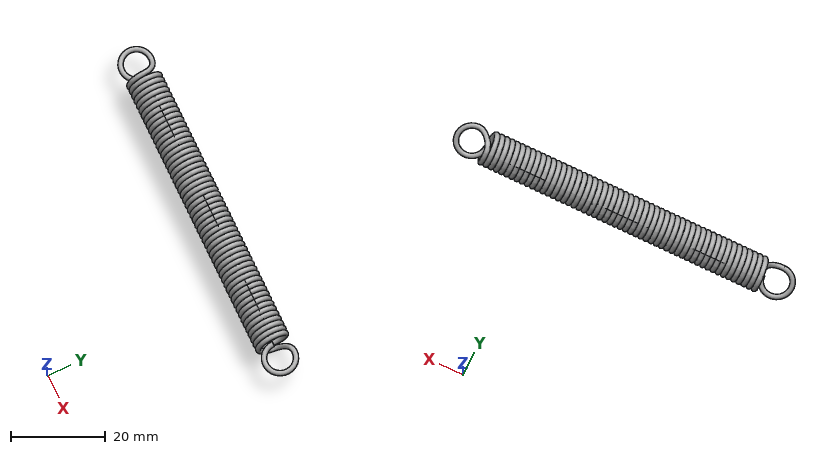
import cadquery as cq
import math

overall_length = 79.35
outer_diameter = 7.9
wire_diameter = 1.2
half_turns = 107

wire_radius = wire_diameter / 2
mean_radius = (outer_diameter - wire_diameter) / 2
ring_center_x = -(overall_length - outer_diameter) / 2
coil_start_x = ring_center_x + mean_radius
coil_length = -2 * coil_start_x
half_pitch = coil_length / half_turns
coil_slope = half_pitch / (math.pi * mean_radius)
handle_length = mean_radius * 4 / 3 * (math.sqrt(2) - 1)

origin = cq.Vector(0, 0, 0)
x_axis = cq.Vector(1, 0, 0)
y_axis = cq.Vector(0, 1, 0)

ring_end = cq.Vector(ring_center_x + mean_radius, 0, 0)
lead_start = cq.Vector(ring_center_x, mean_radius, 0)
lead_end = cq.Vector(coil_start_x, 0, mean_radius)


def turn_about_y(edge):
    """Half turn about Y, which carries one end of the spring onto the other."""
    return edge.rotate(origin, y_axis, 180)


def ring_edge():
    """Three-quarter hook ring in the XY plane, open towards the lead."""
    diagonal = mean_radius * math.sqrt(0.5)
    ring_middle = cq.Vector(ring_center_x - diagonal, -diagonal, 0)
    return cq.Edge.makeThreePointArc(ring_end, ring_middle, lead_start)


def lead_edge():
    """Curved lead from the +Y side of the ring up to the top of the coil."""
    ring_handle = lead_start + cq.Vector(handle_length, 0, 0)
    coil_handle = lead_end + cq.Vector(-handle_length * coil_slope, handle_length, 0)
    return cq.Edge.makeBezier([lead_start, ring_handle, coil_handle, lead_end])


def coil_edges():
    """Close-wound right-handed coil about X, from its top at -X to its bottom at +X."""
    helix = cq.Wire.makeHelix(2 * half_pitch, half_pitch, mean_radius).Edges()[0]
    first = helix.rotate(origin, y_axis, 90).rotate(origin, x_axis, 180)
    edges = []
    for index in range(half_turns):
        shift = cq.Vector(coil_start_x + index * half_pitch, 0, 0)
        edges.append(first.rotate(origin, x_axis, 180 * index).translate(shift))
    return edges


ring = ring_edge()
lead = lead_edge()
centerline = cq.Wire.assembleEdges([ring, lead, *coil_edges(), turn_about_y(lead), turn_about_y(ring)])

section = cq.Workplane(cq.Plane(origin=ring_end.toTuple(), normal=(0, 1, 0))).circle(wire_radius)
result = section.sweep(cq.Workplane(obj=centerline))